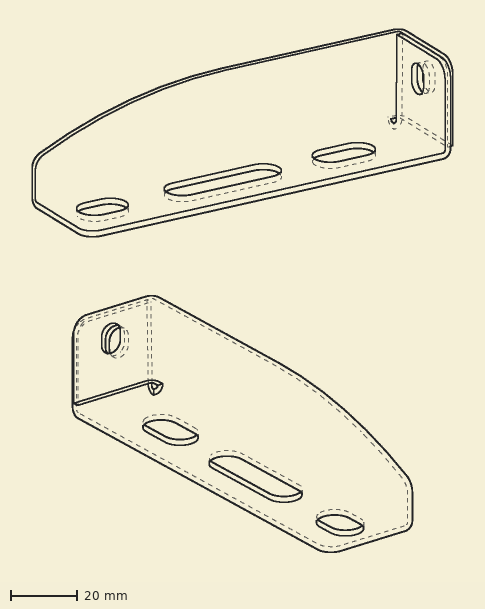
import cadquery as cq
import math

width = 32.0
length = 130.1
height = 30.7

sheet = 2.0
inner_bend = 0.8
outer_bend = sheet + inner_bend
corner_radius = 5.0

outer_flange_end = 30.0
flange_gap = 0.07
inner_flange_rear = length - sheet - flange_gap
bend_start = inner_flange_rear - outer_bend
inner_flange_left = 3.5
inner_flange_top_left = 4.0

crown_start = 67.0
crown_radius = 152.2

slot_x = 16.0
floor_slot_width = 10.9
floor_slots = [(15.1, 16.4), (57.5, 39.4), (100.2, 20.4)]
flange_slot_z = 20.4
flange_slot_width = 7.0
flange_slot_length = 9.8


def angle_profile(plane, leg_a, leg_b):
    """L-shaped sheet section with a rounded bend at the origin corner."""
    mid_outer = outer_bend * (1 - math.sqrt(0.5))
    mid_inner = sheet + inner_bend * (1 - math.sqrt(0.5))
    return (
        cq.Workplane(plane)
        .moveTo(leg_a, 0)
        .lineTo(outer_bend, 0)
        .threePointArc((mid_outer, mid_outer), (0, outer_bend))
        .lineTo(0, leg_b)
        .lineTo(sheet, leg_b)
        .lineTo(sheet, outer_bend)
        .threePointArc((mid_inner, mid_inner), (outer_bend, sheet))
        .lineTo(leg_a, sheet)
        .close()
    )


def crown_z(y):
    """Height of the wall's curved top edge at a given Y."""
    return height - crown_radius + math.sqrt(crown_radius**2 - (crown_start - y) ** 2)


def wall_and_floor():
    """Side wall bent into the floor, with the wall's front end curved down."""
    angle = angle_profile("XZ", width, height).extrude(-bend_start)
    angle = angle.edges("|Z and >X and <Y").fillet(corner_radius)
    above_crown = (
        cq.Workplane("YZ")
        .moveTo(crown_start, height)
        .threePointArc((crown_start / 2, crown_z(crown_start / 2)), (0, crown_z(0)))
        .lineTo(0, height)
        .close()
        .extrude(sheet)
    )
    angle = angle.cut(above_crown)
    front_corner = cq.selectors.NearestToPointSelector((sheet / 2, 0, crown_z(0)))
    return angle.edges(front_corner).fillet(corner_radius)


def outer_flange():
    """Rear end of the wall bent round to stand behind the inner flange."""
    plane = cq.Plane(origin=(0, length, height), xDir=(1, 0, 0), normal=(0, 0, -1))
    flange = angle_profile(plane, outer_flange_end, length - bend_start).extrude(height - outer_bend)
    return flange.edges("|Y and >X and >Z").fillet(corner_radius)


def inner_flange():
    """Rear end of the floor bent upward, with a slightly sloping left edge."""
    plane = cq.Plane(origin=(width, inner_flange_rear, 0), xDir=(0, -1, 0), normal=(-1, 0, 0))
    floor_overlap = 2 * outer_bend
    flange = angle_profile(plane, floor_overlap, height).extrude(width - inner_flange_left)
    flange = flange.edges("|Y and >X and >Z").fillet(corner_radius)
    edge_slope = (
        cq.Workplane("XZ", origin=(0, length, 0))
        .polyline([
            (inner_flange_left, outer_bend),
            (inner_flange_left, height),
            (inner_flange_top_left, height),
        ])
        .close()
        .extrude(length - bend_start)
    )
    return flange.cut(edge_slope)


def floor_slot_cutters():
    cutters = cq.Workplane("XY")
    for centre_y, slot_length in floor_slots:
        cutters = cutters.union(
            cq.Workplane("XY")
            .center(slot_x, centre_y)
            .slot2D(slot_length, floor_slot_width, 90)
            .extrude(sheet)
        )
    return cutters


def flange_slot_cutter():
    return (
        cq.Workplane("XZ", origin=(slot_x, length, flange_slot_z))
        .slot2D(flange_slot_length, flange_slot_width, 90)
        .extrude(length - bend_start)
    )


result = wall_and_floor().union(outer_flange()).union(inner_flange())
result = result.cut(floor_slot_cutters()).cut(flange_slot_cutter())